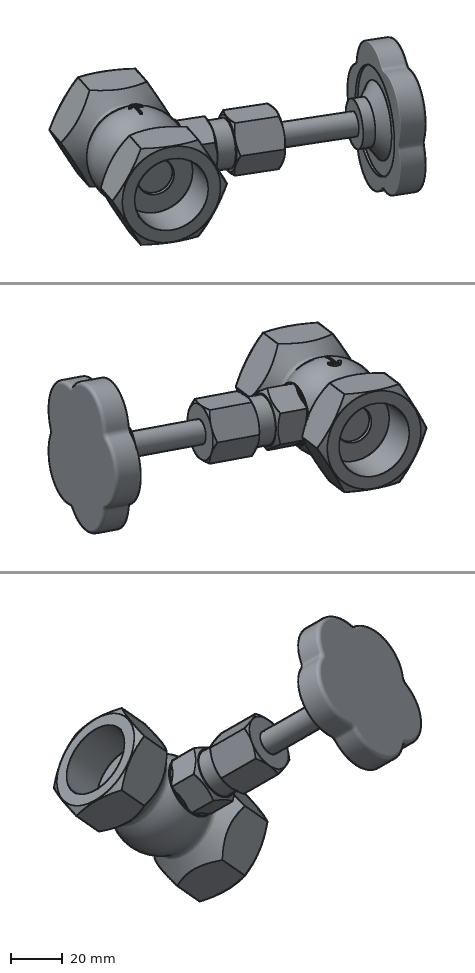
import cadquery as cq
import math


body_length = 75.0
end_hex_flats = 41.0
end_hex_corner = end_hex_flats / math.sqrt(3)
end_face_diameter = 40.5
end_hex_start = 22.5
neck_blend = 2.0
port_diameter = 30.3
port_depth = 17.5
seat_diameter = 15.0
seat_depth = 2.0

ball_radius = 20.0
pad_diameter = 25.0
pad_height = 16.0

small_hex_flats = 22.5
small_hex_corner = small_hex_flats / math.sqrt(3)
sleeve_diameter = 20.0
bonnet_top = 29.0
bonnet_face_diameter = 20.9
bonnet_turn = 30
nut_bottom = 36.5
nut_top = 56.6
nut_face_diameter = small_hex_flats
nut_turn = 0
stem_diameter = 10.0

overall_length = 132.3
wheel_top = overall_length - end_hex_corner
wheel_thickness = 11.0
wheel_bottom = wheel_top - wheel_thickness
lobe_count = 5
lobe_diameter = 33.1
lobe_offset = 15.0
valley_radius = 3.0
wheel_top_fillet = 1.6
wheel_bottom_fillet = 0.4
recess_diameter = 44.0
recess_depth = 1.0
hub_diameter = 20.0
hub_bottom = 89.2
hub_top = 94.2
hub_cone_diameter = 31.7

arrow_top = 20.1
arrow_base = 17.9
arrow_shaft_width = 0.8
arrow_tip = -5.3
arrow_tail = 3.7
arrow_head_radius = 2.8
arrow_head_width = 1.0

chamfer_slope = math.tan(math.radians(30))
turning_margin = 4.0


def along_y(start, end, diameter):
    """Cylinder on the stem axis from y = start to y = end."""
    return cq.Workplane("XZ", origin=(0, start, 0)).circle(diameter / 2).extrude(start - end)


def along_x(start, end, diameter):
    """Cylinder on the flow axis from x = start to x = end."""
    return cq.Workplane("YZ", origin=(start, 0, 0)).circle(diameter / 2).extrude(end - start)


def turned_body():
    """Ball between two 45 degree cones, with a conical chamfer at each end face."""
    half = body_length / 2
    face_radius = end_face_diameter / 2
    cone_shift = end_hex_corner - end_hex_start
    neck_x = (math.sqrt(2 * ball_radius**2 - cone_shift**2) - cone_shift) / 2
    neck_radius = neck_x + cone_shift
    rim_x = (half + (face_radius - cone_shift) * chamfer_slope) / (1 + chamfer_slope)
    rim_radius = rim_x + cone_shift
    turned = (
        cq.Workplane("XZ")
        .moveTo(-half, 0)
        .lineTo(-half, face_radius)
        .lineTo(-rim_x, rim_radius)
        .lineTo(-neck_x, neck_radius)
        .threePointArc((0, ball_radius), (neck_x, neck_radius))
        .lineTo(rim_x, rim_radius)
        .lineTo(half, face_radius)
        .lineTo(half, 0)
        .close()
        .revolve(360, (0, 0, 0), (1, 0, 0))
    )
    margin = 0.1
    neck_circles = cq.selectors.BoxSelector(
        (-neck_x - margin, -margin, -margin), (neck_x + margin, margin, margin)
    )
    return turned.edges(neck_circles).fillet(neck_blend)


def valve_body():
    """Turned body trimmed by the hexagon of the pipe ends, plus the bonnet pad."""
    hexagon = (
        cq.Workplane("YZ", origin=(-body_length / 2, 0, 0))
        .polygon(6, 2 * end_hex_corner)
        .extrude(body_length)
    )
    body = turned_body().intersect(hexagon)
    return body.union(along_y(0, pad_height, pad_diameter))


def cut_ports(solid):
    """Bore a blind port and a shallow seat into each pipe end."""
    for side in (-1, 1):
        face = side * body_length / 2
        floor = face - side * port_depth
        solid = solid.cut(along_x(face, floor, port_diameter))
        solid = solid.cut(along_x(floor, floor - side * seat_depth, seat_diameter))
    return solid


def small_hexagon(bottom, top, turn, face_diameter, chamfer_bottom):
    """Hexagon bar on the stem axis, its top and optionally its bottom chamfered to face_diameter."""
    bar = (
        cq.Workplane("XZ", origin=(0, bottom, 0))
        .transformed(rotate=(0, 0, turn))
        .polygon(6, 2 * small_hex_corner)
        .extrude(bottom - top)
    )
    face = face_diameter / 2
    rim = small_hex_corner + turning_margin
    chamfer = (rim - face) * chamfer_slope
    outline = cq.Workplane("XY").moveTo(0, bottom)
    if chamfer_bottom:
        outline = outline.lineTo(face, bottom).lineTo(rim, bottom + chamfer)
    else:
        outline = outline.lineTo(rim, bottom)
    turned = (
        outline.lineTo(rim, top - chamfer)
        .lineTo(face, top)
        .lineTo(0, top)
        .close()
        .revolve(360, (0, 0, 0), (0, 1, 0))
    )
    return bar.intersect(turned)


def handwheel():
    """Five-lobed wheel, the first lobe towards -X, with a conical hub rising from a recess."""
    wheel = along_y(wheel_bottom, wheel_top, 2 * lobe_offset)
    for i in range(lobe_count):
        angle = math.pi + i * 2 * math.pi / lobe_count
        centre = (lobe_offset * math.cos(angle), 0, lobe_offset * math.sin(angle))
        wheel = wheel.union(along_y(wheel_bottom, wheel_top, lobe_diameter).translate(centre))
    wheel = wheel.edges("|Y").fillet(valley_radius)
    wheel = wheel.faces(">Y").edges().fillet(wheel_top_fillet)
    wheel = wheel.faces("<Y").edges().fillet(wheel_bottom_fillet)
    recess_floor = wheel_bottom + recess_depth
    wheel = wheel.cut(along_y(wheel_bottom, recess_floor, recess_diameter))
    hub_radius = hub_diameter / 2
    hub = (
        cq.Workplane("XY")
        .moveTo(0, hub_bottom)
        .lineTo(hub_radius, hub_bottom)
        .lineTo(hub_radius, hub_top)
        .lineTo(hub_cone_diameter / 2, recess_floor)
        .lineTo(0, recess_floor)
        .close()
        .revolve(360, (0, 0, 0), (0, 1, 0))
    )
    return wheel.union(hub)


def flow_arrow():
    """Arrow on top of the ball pointing to -X: a straight shaft and a half-ring head."""
    height = arrow_top - arrow_base
    plane = cq.Workplane("XY", origin=(0, 0, arrow_base))
    shaft_start = arrow_tip + arrow_head_width / 2
    shaft_length = arrow_tail - shaft_start
    shaft = (
        plane.center(shaft_start + shaft_length / 2, 0)
        .rect(shaft_length, arrow_shaft_width)
        .extrude(height)
    )
    head_centre = arrow_tip + arrow_head_radius
    inner_radius = arrow_head_radius - arrow_head_width
    head = (
        plane.moveTo(head_centre, arrow_head_radius)
        .threePointArc((arrow_tip, 0), (head_centre, -arrow_head_radius))
        .lineTo(head_centre, -inner_radius)
        .threePointArc((arrow_tip + arrow_head_width, 0), (head_centre, inner_radius))
        .close()
        .extrude(height)
    )
    return shaft.union(head)


result = (
    cut_ports(valve_body())
    .union(small_hexagon(pad_height, bonnet_top, bonnet_turn, bonnet_face_diameter, chamfer_bottom=False))
    .union(along_y(bonnet_top, nut_bottom, sleeve_diameter))
    .union(small_hexagon(nut_bottom, nut_top, nut_turn, nut_face_diameter, chamfer_bottom=True))
    .union(along_y(nut_top, hub_bottom, stem_diameter))
    .union(handwheel())
    .union(flow_arrow())
)